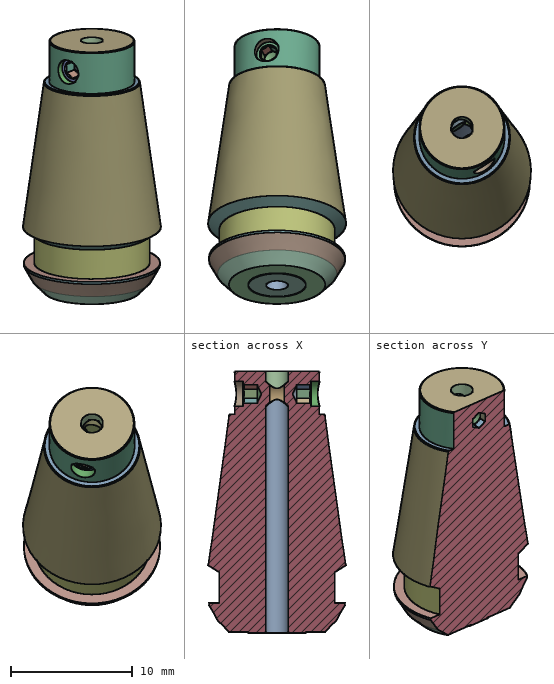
import cadquery as cq

total_height = 21.5
base_pad_height = 0.06
base_cone_top = 1.03
flange_bottom = 2.28
flange_top = 2.47
neck_top = 4.97
taper_bottom = 5.55
shoulder_height = 17.97

base_pad_diameter = 4.73
base_diameter = 7.91
base_cone_diameter = 9.8
flange_diameter = 11.2
neck_diameter = 9.5
body_diameter = 11.35
shoulder_diameter = 7.91
cap_diameter = 7.0
edge_break = 0.09

bore_diameter = 1.8

screw_diameter = 2.02
screw_height = 19.63
screw_face_distance = 2.8
screw_tip_distance = 0.58
screw_tip_diameter = 1.42
socket_rim_diameter = 1.5
socket_across_flats = 1.27
socket_depth = 1.18
socket_rim_depth = 0.1
socket_point_depth = 0.32
hexagon_sides = 6
hexagon_corner_ratio = 2 / 3**0.5


def turned_body():
    """Revolve the outside profile about Z and break the two top edges."""
    profile = [
        (0, 0),
        (base_pad_diameter / 2, 0),
        (base_pad_diameter / 2, base_pad_height),
        (base_diameter / 2, base_pad_height),
        (base_cone_diameter / 2, base_cone_top),
        (flange_diameter / 2, flange_bottom),
        (flange_diameter / 2, flange_top),
        (neck_diameter / 2, flange_top),
        (neck_diameter / 2, neck_top),
        (body_diameter / 2, taper_bottom),
        (shoulder_diameter / 2, shoulder_height - edge_break),
        (shoulder_diameter / 2 - edge_break, shoulder_height),
        (cap_diameter / 2, shoulder_height),
        (cap_diameter / 2, total_height - edge_break),
        (cap_diameter / 2 - edge_break, total_height),
        (0, total_height),
    ]
    return cq.Workplane("XZ").polyline(profile).close().revolve(360, (0, 0), (0, 1))


def cone(large_diameter, small_diameter, height, start):
    """Cone along -Z whose large end is at the given start height."""
    return cq.Workplane(obj=cq.Solid.makeCone(
        large_diameter / 2, small_diameter / 2, height,
        cq.Vector(0, 0, start), cq.Vector(0, 0, -1),
    ))


def set_screw():
    """Set screw along Z, with its tip towards the origin and its socket facing +Z."""
    tip_chamfer = (screw_diameter - screw_tip_diameter) / 2
    length = screw_face_distance - screw_tip_distance
    screw = (
        cq.Workplane("XY").workplane(offset=screw_tip_distance)
        .circle(screw_diameter / 2).extrude(length)
        .faces("<Z").chamfer(tip_chamfer)
    )
    socket = (
        cq.Workplane("XY").workplane(offset=screw_face_distance)
        .polygon(hexagon_sides, socket_across_flats * hexagon_corner_ratio).extrude(-socket_depth)
    )
    rim = cone(socket_rim_diameter, socket_across_flats, socket_rim_depth, screw_face_distance)
    point = cone(socket_across_flats, 0, socket_point_depth, screw_face_distance - socket_depth)
    return screw.cut(socket).cut(rim).cut(point)


def place_screw(screw, turn):
    """Lay the screw along -Y at its height, then turn it about Z."""
    turned = screw.rotate((0, 0, 0), (0, 0, 1), 90)
    lying = turned.rotate((0, 0, 0), (1, 0, 0), 90)
    return lying.rotate((0, 0, 0), (0, 0, 1), turn).translate((0, 0, screw_height))


bore = cq.Workplane("XY").circle(bore_diameter / 2).extrude(total_height)
screw_hole = (
    cq.Workplane("XZ", origin=(0, 0, screw_height))
    .circle(screw_diameter / 2).extrude(cap_diameter / 2, both=True)
)

result = turned_body().cut(bore).cut(screw_hole)
for turn in (0, 180):
    result = result.union(place_screw(set_screw(), turn))